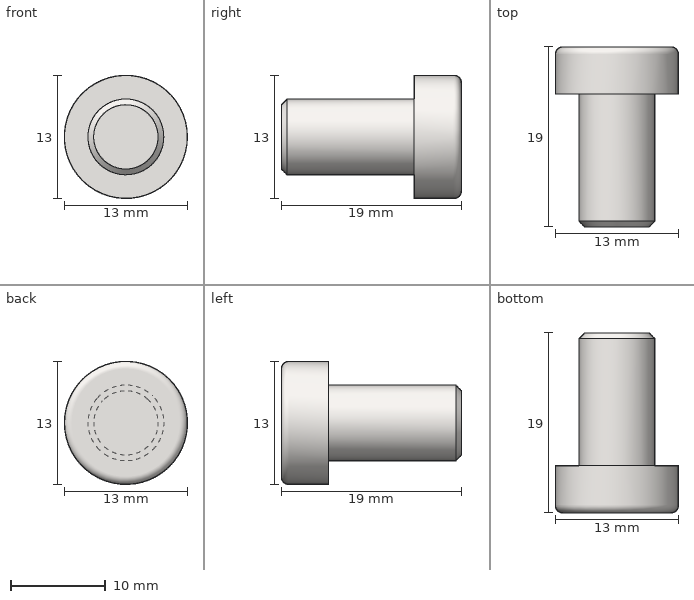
import cadquery as cq

total_length = 19.0
head_diameter = 13.0
head_height = 5.0
head_edge_radius = 0.8
shank_diameter = 8.0
tip_chamfer = 0.6

tip_y = -total_length / 2
head_seat_y = total_length / 2 - head_height


def make_shank():
    """Cylindrical shank with a chamfered tip, ending at the head seat."""
    shank = (
        cq.Workplane("XZ", origin=(0, head_seat_y, 0))
        .circle(shank_diameter / 2)
        .extrude(head_seat_y - tip_y)
    )
    return shank.faces("<Y").edges().chamfer(tip_chamfer)


def make_head():
    """Cylindrical head with a rounded outer rim."""
    head = (
        cq.Workplane("XZ", origin=(0, head_seat_y, 0))
        .circle(head_diameter / 2)
        .extrude(-head_height)
    )
    return head.faces(">Y").edges().fillet(head_edge_radius)


result = make_head().union(make_shank())